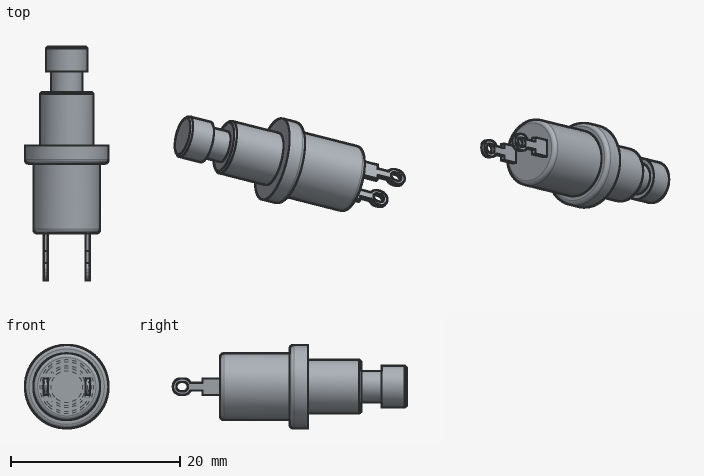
import cadquery as cq

terminal_length = 5.59
body_length = 8.24
flange_length = 2.18
bushing_length = 6.3
neck_length = 2.41
cap_length = 2.97

body_diameter = 7.92
flange_diameter = 9.91
bushing_diameter = 6.38
neck_diameter = 3.76
cap_diameter = 4.95

rear_fillet = 0.5
front_chamfer = 0.25

terminal_spacing = 4.95
terminal_thickness = 0.51
blade_width = 1.98
blade_length = 2.08
stem_width = 0.94
ring_width = blade_width
eye_width = 1.09
straight_length = 0.25
ring_length = ring_width + straight_length
eye_length = eye_width + straight_length

flange_rear_y = -flange_length
body_rear_y = flange_rear_y - body_length
neck_start_y = bushing_length
cap_start_y = neck_start_y + neck_length
terminal_tip_y = body_rear_y - terminal_length
ring_center_y = terminal_tip_y + ring_length / 2
stem_length = body_rear_y - ring_center_y


def cylinder(start_y, length, diameter):
    """Solid cylinder about the Y axis, growing toward +Y from start_y."""
    base_plane = cq.Plane(origin=(0, start_y, 0), xDir=(1, 0, 0), normal=(0, 1, 0))
    return cq.Workplane(base_plane).circle(diameter / 2).extrude(length)


def make_housing():
    """Body, flange and bushing, with rounded rear edges and a chamfered bushing."""
    body = cylinder(body_rear_y, body_length, body_diameter).faces("<Y").edges().fillet(rear_fillet)
    flange = cylinder(flange_rear_y, flange_length, flange_diameter).faces("<Y").edges().fillet(rear_fillet)
    bushing = cylinder(0, bushing_length, bushing_diameter).faces(">Y").edges().chamfer(front_chamfer)
    return body.union(flange).union(bushing)


def make_button():
    """Push button: a slim neck carrying a wider cap with a chamfered front edge."""
    neck = cylinder(neck_start_y, neck_length, neck_diameter)
    cap = cylinder(cap_start_y, cap_length, cap_diameter).faces(">Y").edges().chamfer(front_chamfer)
    return neck.union(cap)


def make_strip(length, width):
    """Flat strip running back from the rear face of the body, starting at X = 0."""
    strip_base = cq.Workplane("YZ").center(body_rear_y - length / 2, 0)
    return strip_base.rect(length, width).extrude(terminal_thickness)


def make_terminal(center_x):
    """Flat solder terminal lying in a YZ plane and centred on center_x."""
    ring_base = cq.Workplane("YZ").center(ring_center_y, 0)
    ring = ring_base.slot2D(ring_length, ring_width).extrude(terminal_thickness)
    eye = ring_base.slot2D(eye_length, eye_width).extrude(terminal_thickness)
    blade = make_strip(blade_length, blade_width)
    stem = make_strip(stem_length, stem_width)
    terminal = blade.union(stem).union(ring).cut(eye)
    return terminal.translate((center_x - terminal_thickness / 2, 0, 0))


result = make_housing().union(make_button())
for side in (-1, 1):
    result = result.union(make_terminal(side * terminal_spacing / 2))